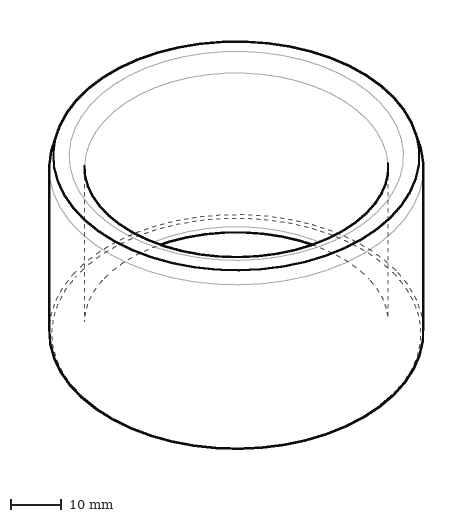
import cadquery as cq
import math

outer_diameter = 74.0
bore_diameter = 60.0
height = 45.0

lead_in_height = 3.0
lead_in_angle = 15.0
bore_fillet_radius = 3.0
bottom_chamfer = 0.5

outer_radius = outer_diameter / 2
bore_radius = bore_diameter / 2
lead_in_width = lead_in_height * math.tan(math.radians(lead_in_angle))
mouth_radius = bore_radius + bore_fillet_radius

arc_inset = bore_fillet_radius * (1 - math.sqrt(0.5))

section = (
    cq.Workplane("XZ")
    .moveTo(mouth_radius, 0)
    .lineTo(outer_radius - bottom_chamfer, 0)
    .lineTo(outer_radius, bottom_chamfer)
    .lineTo(outer_radius, height - lead_in_height)
    .lineTo(outer_radius - lead_in_width, height)
    .lineTo(mouth_radius, height)
    .threePointArc(
        (bore_radius + arc_inset, height - arc_inset),
        (bore_radius, height - bore_fillet_radius),
    )
    .lineTo(bore_radius, bore_fillet_radius)
    .threePointArc(
        (bore_radius + arc_inset, arc_inset),
        (mouth_radius, 0),
    )
    .close()
)

result = section.revolve(360, (0, 0), (0, 1))